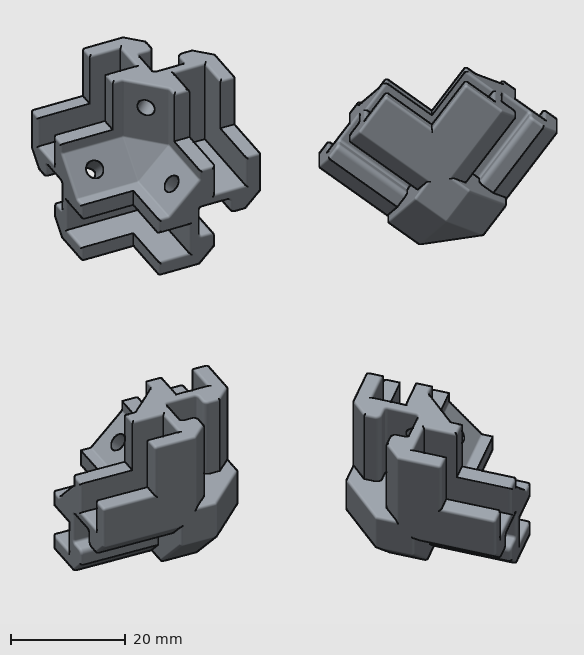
import cadquery as cq


ARM_LENGTH = 30.0
ARM_WIDTH = 20.0
EDGE_ROUND = 0.5

CORNER_CHAMFER = 8.0

SLOT_FLOOR = 15.0
MOUTH_EDGE = 12.0
MOUTH_DEPTH = 3.0
THROAT_EDGE = MOUTH_EDGE - MOUTH_DEPTH
CAVITY_NEAR = 6.0
CAVITY_FAR = 12.0
LIP_ROUND = 1.0

CHANNEL_START = 3.0
CHANNEL_END = 9.0
CHANNEL_FLOOR = 14.0

SEAT_NEAR = 12.0
SEAT_FAR = 18.0

HOLE_DIAMETER = 3.2
HOLE_HEIGHT = 25.0

REACH = 2 * ARM_LENGTH
TOLERANCE = 1e-3


def three_ways(shape):
    """The shape on each arm: Z, then -Y, then X."""
    return [shape.rotate((0, 0, 0), (1, -1, 1), turn) for turn in (0, 120, 240)]


def union_of(shapes):
    total = shapes[0]
    for shape in shapes[1:]:
        total = total.union(shape)
    return total


def cut_three_ways(body, cutter):
    for turned in three_ways(cutter):
        body = body.cut(turned)
    return body


def section_prism(outline, start, end):
    """Prism along Z with an outline given as (u, v) points."""
    points = [(u, -v) for u, v in outline]
    return cq.Workplane("XY").workplane(offset=start).polyline(points).close().extrude(end - start)


def round_uprights(prism, places, radius):
    """Round the Z-direction edges of a prism that stand at the given (u, v) places."""
    for u, v in places:
        spot = cq.selectors.NearestToPointSelector((u, -v, prism.val().Center().z))
        prism = prism.edges("|Z").edges(spot).fillet(radius)
    return prism


def square_outline(low, high):
    return [(low, low), (high, low), (high, high), (low, high)]


def diagonal_half_space(coordinate_sum):
    """Block on the outward side of the plane u + v + z = coordinate_sum."""
    third = coordinate_sum / 3
    plane = cq.Plane(origin=(third, -third, third), xDir=(1, 1, 0), normal=(1, -1, 1))
    return cq.Workplane(plane).rect(4 * REACH, 4 * REACH).extrude(4 * REACH)


def bevelled_corner(start, bevel_end):
    """Large block with its corner at u = v = z = start and that corner's three edges bevelled.

    The bevels run from start to bevel_end, a triangular facet joins them, and every edge
    around them is rounded.
    """
    outline = [(start, bevel_end), (bevel_end, start)] + square_outline(start, REACH)[1:]
    block = diagonal_half_space(start + 2 * bevel_end)
    for turned in three_ways(section_prism(outline, start, REACH)):
        block = block.intersect(turned)
    bevel_borders = [
        edge
        for edge in block.edges().vals()
        if max(abs(value) for value in edge.Center().toTuple()) < REACH - TOLERANCE
    ]
    return block.newObject(bevel_borders).fillet(EDGE_ROUND)


def make_arms():
    arm = section_prism(square_outline(0, ARM_WIDTH), 0, ARM_LENGTH)
    return union_of(three_ways(arm))


def make_slot_cutter():
    half = [
        (0, MOUTH_EDGE),
        (MOUTH_DEPTH, THROAT_EDGE),
        (CAVITY_NEAR, THROAT_EDGE),
        (CAVITY_NEAR, CAVITY_FAR),
    ]
    mirrored_half = [(v, u) for u, v in reversed(half)]
    outline = [(0, 0)] + half + [(CAVITY_FAR, CAVITY_FAR)] + mirrored_half
    slot = section_prism(outline, SLOT_FLOOR, ARM_LENGTH)
    lips = [(CAVITY_NEAR, THROAT_EDGE), (THROAT_EDGE, CAVITY_NEAR)]
    cavity_corners = [(CAVITY_NEAR, CAVITY_FAR), (CAVITY_FAR, CAVITY_FAR), (CAVITY_FAR, CAVITY_NEAR)]
    slot = round_uprights(slot, lips, LIP_ROUND)
    return round_uprights(slot, cavity_corners, EDGE_ROUND)


def make_channel_cutter():
    """Channel that runs along the inner sides of the X and -Y arms at one height."""
    return section_prism(square_outline(CHANNEL_FLOOR, REACH), CHANNEL_START, CHANNEL_END)


def make_hole_cutter():
    """Hole from the slot cavity out through the middle of the seat."""
    start = (CAVITY_NEAR + CAVITY_FAR) / 2
    plane = cq.Plane(origin=(start, -start, HOLE_HEIGHT), xDir=(0, 0, 1), normal=(1, -1, 0))
    return cq.Workplane(plane).circle(HOLE_DIAMETER / 2).extrude(ARM_WIDTH - start)


def lies_on(points, axis, at):
    """True when all the points share one value along the given axis."""
    return all(abs(point[axis] - at) < TOLERANCE for point in points)


def needs_rounding(edge):
    """Pick arm end borders, outer long edges, slot mouth edges and open slot floor borders."""
    points = [(p.x, -p.y, p.z) for p in (edge.startPoint(), edge.endPoint(), edge.Center())]
    for axis in range(3):
        if lies_on(points, axis, ARM_LENGTH):
            return True
        on_outer_face = lies_on(points, axis, 0)
        for other in range(3):
            at_side_or_mouth = lies_on(points, other, ARM_WIDTH) or lies_on(points, other, MOUTH_EDGE)
            if on_outer_face and at_side_or_mouth:
                return True
        if lies_on(points, axis, SLOT_FLOOR) and sum(points[-1]) - SLOT_FLOOR < MOUTH_EDGE - TOLERANCE:
            return True
    return False


def round_edges(body):
    chosen = [edge for edge in body.edges().vals() if needs_rounding(edge)]
    return body.newObject(chosen).fillet(EDGE_ROUND)


body = make_arms()
body = body.intersect(bevelled_corner(0, CORNER_CHAMFER))
body = cut_three_ways(body, make_slot_cutter())
body = cut_three_ways(body, make_channel_cutter())
body = body.cut(bevelled_corner(SEAT_NEAR, SEAT_FAR))
body = round_edges(body)
result = cut_three_ways(body, make_hole_cutter())